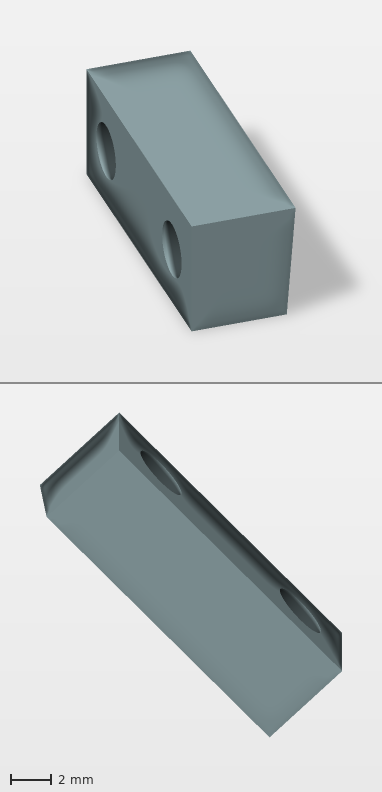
import cadquery as cq

length = 16.0
height = 6.1
top_depth = 5.47
bottom_depth = 5.0

hole_diameter = 2.95
hole_spacing = 10.0

block = (
    cq.Workplane("YZ")
    .polyline([(0, 0), (bottom_depth, 0), (top_depth, height), (0, height)])
    .close()
    .extrude(length / 2, both=True)
)

holes = (
    cq.Workplane("XZ")
    .pushPoints([(side * hole_spacing / 2, height / 2) for side in (-1, 1)])
    .circle(hole_diameter / 2)
    .extrude(-top_depth)
)

result = block.cut(holes)